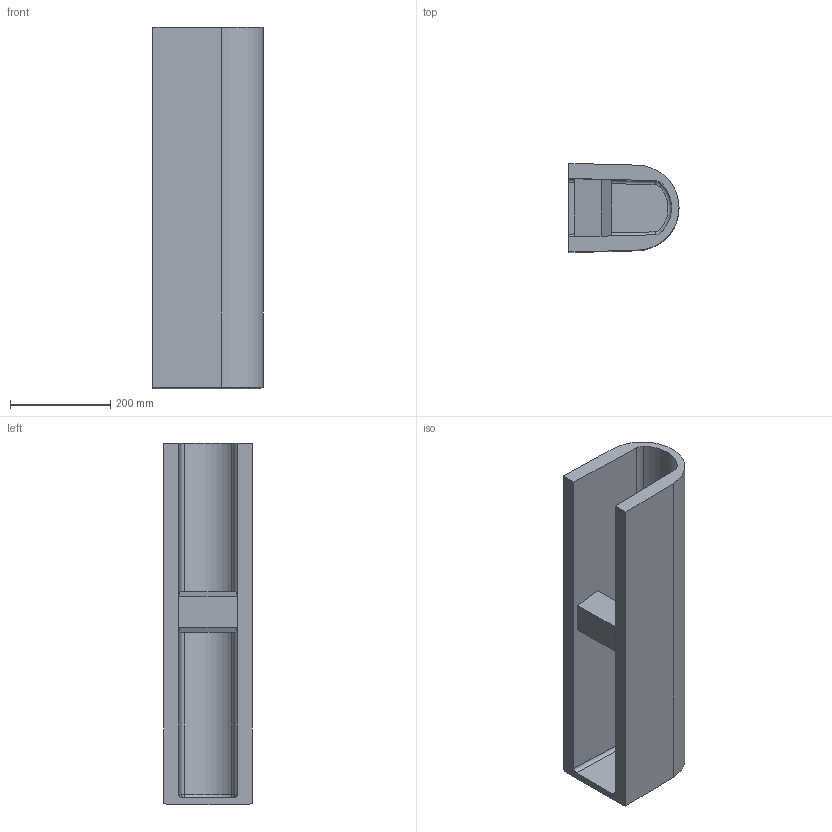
import cadquery as cq
import math

LENGTH = 220.0
HEIGHT = 722.0
SIDE_TAPER = math.radians(1.5)
NOSE_RADIUS = 85.0
NOSE_CENTER_X = LENGTH - NOSE_RADIUS
MOUTH_HALF_WIDTH = (NOSE_RADIUS + NOSE_CENTER_X * math.sin(SIDE_TAPER)) / math.cos(SIDE_TAPER)
BOTTOM_BEVEL_HEIGHT = 3.0
BOTTOM_BEVEL_INSET = 8.0

SIDE_WALL = 30.0
NOSE_WALL = 15.0
CAVITY_CORNER_RADIUS = 20.0
FLOOR_THICKNESS = 14.0
FLOOR_FILLET_RADIUS = 7.0
CAVITY_HALF_WIDTH = MOUTH_HALF_WIDTH - SIDE_WALL
CAVITY_NOSE_RADIUS = NOSE_RADIUS - NOSE_WALL

BAR_FRONT_X = 11.0
BAR_BACK_TOP_X = 65.5
BAR_BACK_BOTTOM_X = 85.5
BAR_CENTER_Z = 385.0
BAR_FRONT_HEIGHT = 60.0
BAR_BACK_HEIGHT = 80.0
BAR_EMBED = SIDE_WALL / 2


def side_half_width(mouth_half_width, x):
    """Half width of a tapered side at distance x behind the mouth."""
    return mouth_half_width - x * math.tan(SIDE_TAPER)


def outer_body():
    tangent_x = NOSE_CENTER_X + NOSE_RADIUS * math.sin(SIDE_TAPER)
    tangent_y = side_half_width(MOUTH_HALF_WIDTH, tangent_x)
    body = (
        cq.Workplane("XY")
        .moveTo(0, -MOUTH_HALF_WIDTH)
        .lineTo(tangent_x, -tangent_y)
        .threePointArc((LENGTH, 0), (tangent_x, tangent_y))
        .lineTo(0, MOUTH_HALF_WIDTH)
        .close()
        .extrude(HEIGHT)
    )
    bottom_edges = body.faces("<Z").edges("not(<X)")
    return bottom_edges.chamfer(BOTTOM_BEVEL_HEIGHT, BOTTOM_BEVEL_INSET)


def cavity():
    offset = CAVITY_HALF_WIDTH * math.cos(SIDE_TAPER) - NOSE_CENTER_X * math.sin(SIDE_TAPER)
    center_distance = CAVITY_NOSE_RADIUS - CAVITY_CORNER_RADIUS
    side_normal = math.pi / 2 - SIDE_TAPER
    corner_angle = side_normal - math.acos((offset - CAVITY_CORNER_RADIUS) / center_distance)
    corner_x = NOSE_CENTER_X + center_distance * math.cos(corner_angle)
    corner_y = center_distance * math.sin(corner_angle)

    def corner_point(angle):
        return (
            corner_x + CAVITY_CORNER_RADIUS * math.cos(angle),
            corner_y + CAVITY_CORNER_RADIUS * math.sin(angle),
        )

    def mirrored(point):
        return (point[0], -point[1])

    side_end = corner_point(side_normal)
    corner_middle = corner_point((side_normal + corner_angle) / 2)
    nose_start = corner_point(corner_angle)
    nose_tip = (NOSE_CENTER_X + CAVITY_NOSE_RADIUS, 0)
    tool = (
        cq.Workplane("XY", origin=(0, 0, FLOOR_THICKNESS))
        .moveTo(0, -CAVITY_HALF_WIDTH)
        .lineTo(*mirrored(side_end))
        .threePointArc(mirrored(corner_middle), mirrored(nose_start))
        .threePointArc(nose_tip, nose_start)
        .threePointArc(corner_middle, side_end)
        .lineTo(0, CAVITY_HALF_WIDTH)
        .close()
        .extrude(HEIGHT - FLOOR_THICKNESS)
    )
    return tool.faces("<Z").edges("not(<X)").fillet(FLOOR_FILLET_RADIUS)


def crossbar():
    section = [
        (BAR_FRONT_X, -BAR_FRONT_HEIGHT / 2),
        (BAR_FRONT_X, BAR_FRONT_HEIGHT / 2),
        (BAR_BACK_TOP_X, BAR_BACK_HEIGHT / 2),
        (BAR_BACK_BOTTOM_X, -BAR_BACK_HEIGHT / 2),
    ]
    half_length = side_half_width(CAVITY_HALF_WIDTH, BAR_BACK_BOTTOM_X) + BAR_EMBED
    return (
        cq.Workplane("XZ", origin=(0, 0, BAR_CENTER_Z))
        .polyline(section)
        .close()
        .extrude(half_length, both=True)
    )


result = outer_body().cut(cavity()).union(crossbar())